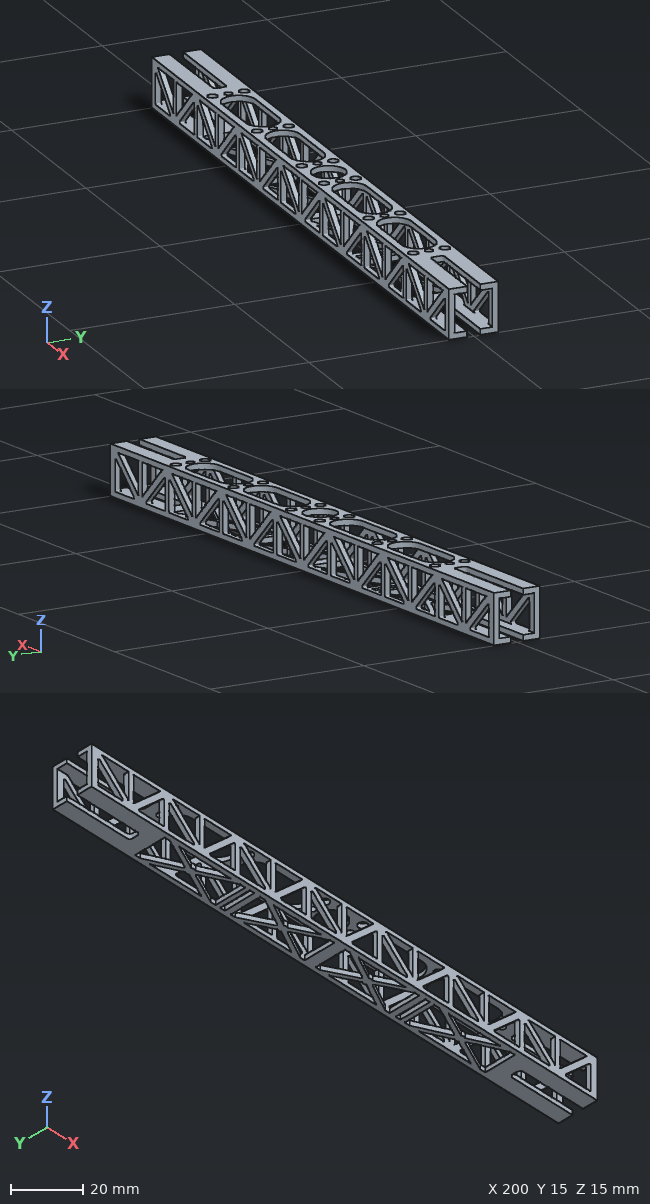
import cadquery as cq
import math

LENGTH = 200.0
WIDTH = 15.0
WALL = 1.8
INNER_WIDTH = WIDTH - 2 * WALL
OVERCUT = 2.0

SIDE_BAYS = 14
END_POST = 2.5
POST = 2.0
DIAGONAL_WIDTH = 2.2
SIDE_CORNER_RADIUS = 0.5
SIDE_BAY = (LENGTH - 2 * END_POST - (SIDE_BAYS - 1) * POST) / SIDE_BAYS

ROW_PITCH = 30.0
FIRST_ROW = 35.0
CENTRE_GAP = 15.0
ROWS_PER_GROUP = 3
SECOND_GROUP = FIRST_ROW + (ROWS_PER_GROUP - 1) * ROW_PITCH + CENTRE_GAP
GROUP_STARTS = (FIRST_ROW, SECOND_GROUP)
EDGE_HOLE_DIAMETER = 3.0
EDGE_HOLE_OFFSET = 4.8
CENTRE_HOLE_DIAMETER = 2.5
WINDOW_WIDTH = 10.0
WINDOW_LENGTH = 26.0

SLOT_WIDTH = 4.0
SLOT_CORNER_RADIUS = 1.0
SLOT_LENGTH = 24.8
LONG_SLOT_LENGTH = 29.8

BOTTOM_CENTRE_BAR = 4.5
BOTTOM_OUTER_BAR = 1.8
BOTTOM_INNER_BAR = 2.5
BOTTOM_GAP = 1.8
BOTTOM_OUTER_BAY = (30.8, 62.5)
BOTTOM_GAP_START = BOTTOM_OUTER_BAY[1] + BOTTOM_OUTER_BAR
BOTTOM_INNER_BAY = (BOTTOM_GAP_START + BOTTOM_GAP + BOTTOM_INNER_BAR, (LENGTH - BOTTOM_CENTRE_BAR) / 2)
BRACE_WIDTH = 1.5
BRACE_CORNER_RADIUS = 0.5
HUB_DIAMETER = 3.0


def block(x_start, x_end, width, z_start, z_end):
    """Box centred on y = 0 between the given x and z limits."""
    return cq.Workplane("XY").box(
        x_end - x_start, width, z_end - z_start, centered=(False, True, False)
    ).translate((x_start, 0, z_start))


def mirrored(shape):
    """The shape mirrored about the middle of the tube's length."""
    return shape.mirror("YZ", (LENGTH / 2, 0, 0))


def side_bay_windows(start, falling):
    """Triangular windows below and above one diagonal, through both side walls.

    The corners of the lower window are rounded; those of the upper one are sharp.
    """
    low = WALL
    high = WIDTH - WALL
    end = start + SIDE_BAY
    rise = high - low
    diagonal = math.hypot(SIDE_BAY, rise)
    x_trim = DIAGONAL_WIDTH / 2 * diagonal / rise
    z_trim = DIAGONAL_WIDTH / 2 * diagonal / SIDE_BAY
    lower = [(start, low), (end - x_trim, low), (start, high - z_trim)]
    upper = [(end, high), (start + x_trim, high), (end, low + z_trim)]
    plane = cq.Workplane("XZ", origin=(0, WIDTH / 2 + OVERCUT, 0))
    depth = WIDTH + 2 * OVERCUT
    lower_window = plane.polyline(lower).close().extrude(depth).edges("|Y").fillet(SIDE_CORNER_RADIUS)
    upper_window = plane.polyline(upper).close().extrude(depth)
    windows = lower_window.add(upper_window).combine()
    if falling:
        return windows
    return windows.mirror("YZ", ((start + end) / 2, 0, 0))


def end_slot(length, z_start):
    """Slot from the x = 0 end through a plate, with rounded inner corners."""
    slot = block(-OVERCUT, length, SLOT_WIDTH, z_start, z_start + WALL)
    return slot.edges("|Z and >X").fillet(SLOT_CORNER_RADIUS)


def top_face():
    """Workplane on the upper face of the tube."""
    return cq.Workplane("XY", origin=(0, 0, WIDTH))


def top_holes(centres, diameter):
    """Round cutters through the top plate."""
    return top_face().pushPoints(centres).circle(diameter / 2).extrude(-WALL)


def braced_opening(start, end):
    """Rectangular opening in the bottom plate, less a cross brace with a round hub.

    The braces aim at the outer corners of the tube, and their acute inner corners are rounded.
    """
    middle = (start + end) / 2
    reach = math.hypot(end - start, WIDTH)
    angle = math.degrees(math.atan2(WIDTH, end - start))
    opening = block(start, end, INNER_WIDTH, 0, WALL)
    for turn in (angle, -angle):
        brace = block(-reach / 2, reach / 2, BRACE_WIDTH, 0, WALL)
        opening = opening.cut(brace.rotate((0, 0, 0), (0, 0, 1), turn).translate((middle, 0, 0)))
    tip_reach = BRACE_WIDTH / math.sin(math.radians(angle))
    near_corner = (middle - tip_reach, -BRACE_WIDTH / 2, 0)
    far_corner = (middle + tip_reach, BRACE_WIDTH / 2, WALL)
    tips = cq.selectors.BoxSelector(near_corner, far_corner)
    opening = opening.edges("|Z").edges(tips).fillet(BRACE_CORNER_RADIUS)
    hub = cq.Workplane("XY").center(middle, 0).circle(HUB_DIAMETER / 2).extrude(WALL)
    return opening.cut(hub)


result = block(0, LENGTH, WIDTH, 0, WIDTH)
result = result.cut(block(-OVERCUT, LENGTH + OVERCUT, INNER_WIDTH, WALL, WIDTH - WALL))

for bay in range(SIDE_BAYS):
    bay_start = END_POST + bay * (SIDE_BAY + POST)
    result = result.cut(side_bay_windows(bay_start, falling=bay % 2 == 0))

row_positions = [start + i * ROW_PITCH for start in GROUP_STARTS for i in range(ROWS_PER_GROUP)]
window_centres = [
    (start + (i + 0.5) * ROW_PITCH, 0) for start in GROUP_STARTS for i in range(ROWS_PER_GROUP - 1)
]
edge_holes = [(x, side * EDGE_HOLE_OFFSET) for x in row_positions for side in (-1, 1)]
centre_holes = [(x, 0) for x in row_positions]
round_window = [(SECOND_GROUP - CENTRE_GAP / 2, 0)]
result = result.cut(top_holes(edge_holes, EDGE_HOLE_DIAMETER))
result = result.cut(top_holes(centre_holes, CENTRE_HOLE_DIAMETER))
result = result.cut(top_holes(round_window, WINDOW_WIDTH))
long_windows = top_face().pushPoints(window_centres).slot2D(WINDOW_LENGTH, WINDOW_WIDTH)
result = result.cut(long_windows.extrude(-WALL))

result = result.cut(end_slot(LONG_SLOT_LENGTH, WIDTH - WALL))
result = result.cut(mirrored(end_slot(SLOT_LENGTH, WIDTH - WALL)))
bottom_slot = end_slot(SLOT_LENGTH, 0)
result = result.cut(bottom_slot).cut(mirrored(bottom_slot))

narrow_gap = block(BOTTOM_GAP_START, BOTTOM_GAP_START + BOTTOM_GAP, INNER_WIDTH, 0, WALL)
for opening in (braced_opening(*BOTTOM_OUTER_BAY), braced_opening(*BOTTOM_INNER_BAY), narrow_gap):
    result = result.cut(opening).cut(mirrored(opening))